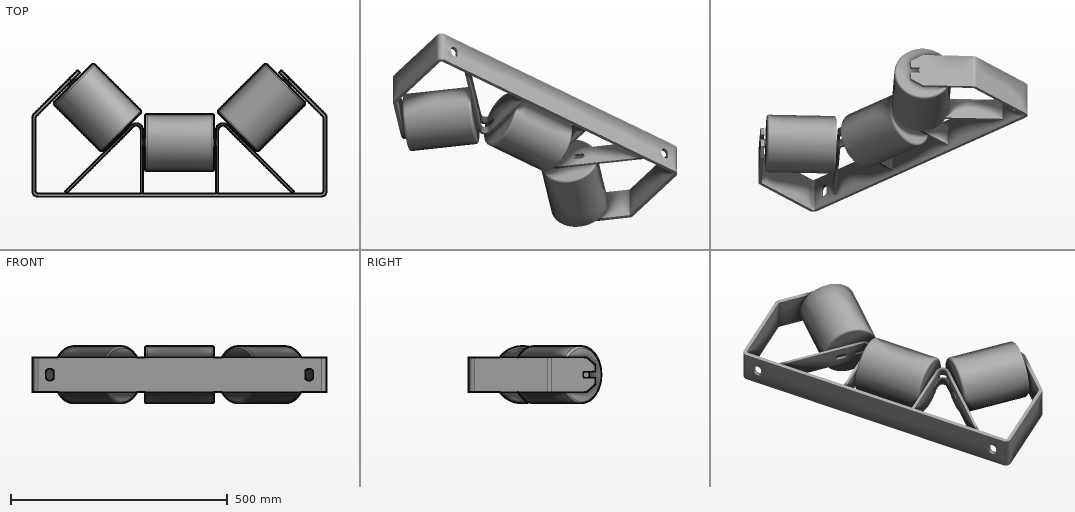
import cadquery as cq
import math

frame_length = 680.0
frame_height = 80.0
frame_thickness = 8.0
frame_inner_bend = 5.0
frame_outer_bend = frame_inner_bend + frame_thickness
arm_past_axle = 29.0
tip_chamfer_along = 28.0
tip_chamfer_across = 17.0

mount_spacing = 599.0
mount_slot_width = 18.5
mount_slot_height = 28.0

support_height = 50.0
support_thickness = 6.0
support_inner_bend = 10.0
support_outer_bend = support_inner_bend + support_thickness

roller_diameter = 133.0
roller_length = 160.0
roller_edge_radius = 5.0
axle_diameter = 20.0
axle_flats = 14.0
support_gap = 4.0
arm_gap = 5.5
middle_axis_y = 125.0
side_roller_x = -189.5
side_roller_y = 205.95

tilt = 45.0
along = cq.Vector(math.cos(math.radians(tilt)), math.sin(math.radians(tilt)))
outward = cq.Vector(-along.y, along.x)
side_center = cq.Vector(side_roller_x, side_roller_y)


def bar(points, height):
    """Upright prism over a closed outline, centred on Z = 0."""
    outline = [(p.x, p.y) for p in points]
    return cq.Workplane("XY", origin=(0, 0, -height / 2)).polyline(outline).close().extrude(height)


def round_corners(body, points, radius):
    """Fillet the upright edges that stand at the given corners of an outline."""
    for point in points:
        corner = cq.selectors.NearestToPointSelector((point.x, point.y, 0))
        body = body.edges("|Z").edges(corner).fillet(radius)
    return body


def rod(diameter, start, end):
    """Round bar along the X axis."""
    return cq.Workplane("YZ", origin=(start, 0, 0)).circle(diameter / 2).extrude(end - start)


def flattened_rod(start, end):
    """Axle bar along the X axis with two flats facing up and down."""
    slab = cq.Workplane("XY").box(end - start, axle_diameter, axle_flats)
    slab = slab.translate(((start + end) / 2, 0, 0))
    return rod(axle_diameter, start, end).intersect(slab)


def place_middle(body):
    return body.translate((0, middle_axis_y, 0))


def place_left(body):
    return body.rotate((0, 0, 0), (0, 0, 1), -tilt).translate(side_center.toTuple())


def mirrored(body):
    return body.mirror("YZ")


def on_slant(along_position, outward_position):
    """Point given by its distances along and outward from the origin."""
    return along * along_position + outward * outward_position


def slant_point_at_x(x, outward_position):
    """Point with a given X on the slanted line at a given outward distance."""
    return cq.Vector(x, (outward_position - x * outward.x) / outward.y)


def make_roller(left_gap, left_thickness, right_gap, right_thickness):
    """Roller along X whose axle ends are flush with the far faces of the bars that carry it."""
    half = roller_length / 2
    left_shoulder = -half - left_gap
    right_shoulder = half + right_gap
    drum = rod(roller_diameter, -half, half).edges("%CIRCLE").fillet(roller_edge_radius)
    round_axle = rod(axle_diameter, left_shoulder, right_shoulder)
    flat_axle = flattened_rod(left_shoulder - left_thickness, right_shoulder + right_thickness)
    return drum.union(round_axle).union(flat_axle)


middle_roller = place_middle(make_roller(support_gap, support_thickness, support_gap, support_thickness))
left_roller = place_left(make_roller(arm_gap, frame_thickness, support_gap, support_thickness))
right_roller = mirrored(left_roller)


side_along = side_center.dot(along)
side_outward = side_center.dot(outward)
arm_inner_face = side_outward + roller_length / 2 + arm_gap
arm_outer_face = arm_inner_face + frame_thickness
arm_tip = side_along + arm_past_axle


def make_half_frame():
    outer_x = -frame_length / 2
    inner_x = outer_x + frame_thickness
    outer_corners = [cq.Vector(outer_x, 0), slant_point_at_x(outer_x, arm_outer_face)]
    inner_corners = [slant_point_at_x(inner_x, arm_inner_face), cq.Vector(inner_x, frame_thickness)]
    tip = [on_slant(arm_tip, arm_outer_face), on_slant(arm_tip, arm_inner_face)]
    outline = [cq.Vector(0, 0), *outer_corners, *tip, *inner_corners, cq.Vector(0, frame_thickness)]
    body = bar(outline, frame_height)
    body = round_corners(body, outer_corners, frame_outer_bend)
    return round_corners(body, inner_corners, frame_inner_bend)


def cut_arm_tip(body):
    """Bevel the two tip corners and cut the open axle slot, all square to the arm."""
    tip_plane = cq.Plane(origin=on_slant(arm_tip, arm_inner_face).toTuple(),
                         xDir=along.toTuple(), normal=outward.toTuple())
    edge = frame_height / 2
    for side in (1, -1):
        bevel = [(0, side * edge), (-tip_chamfer_along, side * edge), (0, side * (edge - tip_chamfer_across))]
        body = body.cut(cq.Workplane(tip_plane).polyline(bevel).close().extrude(frame_thickness))
    slot = (cq.Workplane(tip_plane).center(-arm_past_axle / 2, 0)
            .rect(arm_past_axle, axle_flats).extrude(frame_thickness))
    slot_bottom = place_left(flattened_rod(-roller_length, 0))
    return body.cut(slot).cut(slot_bottom)


def make_frame():
    left_half = cut_arm_tip(make_half_frame())
    body = left_half.union(mirrored(left_half))
    mounts = (cq.Workplane("XZ").pushPoints([(-mount_spacing / 2, 0), (mount_spacing / 2, 0)])
              .slot2D(mount_slot_height, mount_slot_width, 90).extrude(-frame_thickness))
    return body.cut(mounts)


frame = make_frame()


def make_left_support():
    outer_x = -roller_length / 2 - support_gap
    inner_x = outer_x - support_thickness
    outer_face = side_outward - roller_length / 2 - support_gap
    inner_face = outer_face - support_thickness

    foot = (frame_thickness - inner_face * outward.y) / along.y
    outer_bend = slant_point_at_x(outer_x, outer_face)
    inner_bend = slant_point_at_x(inner_x, inner_face)
    body = bar([on_slant(foot, inner_face), on_slant(foot, outer_face), outer_bend,
                cq.Vector(outer_x, frame_thickness), cq.Vector(inner_x, frame_thickness), inner_bend],
               support_height)
    body = round_corners(body, [outer_bend], support_outer_bend)
    body = round_corners(body, [inner_bend], support_inner_bend)

    axes_crossing = cq.Vector(side_roller_x + side_roller_y - middle_axis_y, middle_axis_y)
    reach = roller_length
    slot = bar([axes_crossing,
                axes_crossing + cq.Vector(reach, 0),
                axes_crossing + cq.Vector(reach, reach),
                axes_crossing + cq.Vector(-reach, reach)], axle_flats)
    middle_end = place_middle(flattened_rod(-roller_length, 0))
    side_end = place_left(flattened_rod(0, roller_length / 2 + support_gap + support_thickness))
    return body.cut(slot).cut(middle_end).cut(side_end)


left_support = make_left_support()
right_support = mirrored(left_support)

result = cq.Compound.makeCompound([
    frame.val(),
    left_support.val(),
    right_support.val(),
    left_roller.val(),
    middle_roller.val(),
    right_roller.val(),
])